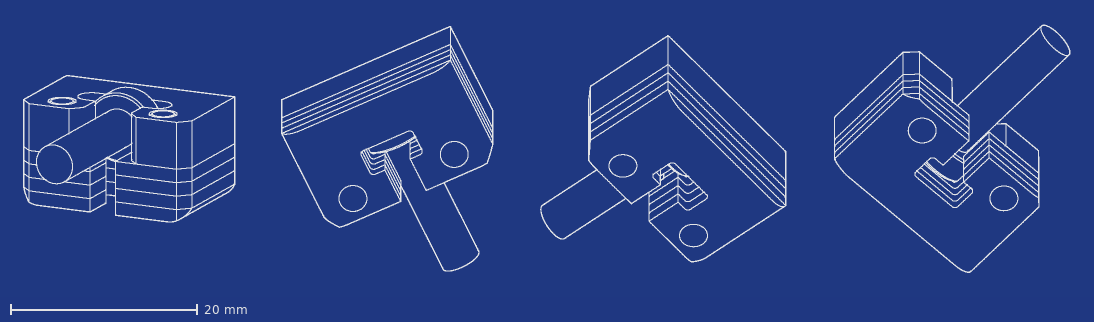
import cadquery as cq
import math


width = 20.0
depth = 12.0
corner_chamfer = 1.25

plate_count = 4
stack_height = 6.0
plate_thickness = stack_height / plate_count
slot_width = 3.0
base_edge_radius = 2.5

block_height = 5.2
top_z = stack_height + block_height
channel_width = 5.6
mouth_chamfer = 1.18
mouth_blend_radius = 0.8

pocket_length = 10.85
pocket_width = 3.0
pocket_center_y = 5.52
plate_pocket_length = 6.15
plate_pocket_radius = 0.43

bolt_z = 8.5
head_radius = 3.86
head_length = pocket_width
head_chamfer = 0.25
shank_diameter = 4.3
shank_overhang = 12.0
head_front_y = pocket_center_y - head_length / 2

pin_diameter = 3.0
pin_chamfer = 0.3
pin_spacing = 12.0
pin_y = 2.5
pin_positions = [(-pin_spacing / 2, pin_y), (pin_spacing / 2, pin_y)]


def clamp_slab(bottom_z, height):
    """Rectangular slab with chamfered front corners and holes for the pins."""
    slab = (
        cq.Workplane("XY")
        .box(width, depth, height, centered=(True, False, False))
        .edges("|Z and <Y")
        .chamfer(corner_chamfer)
        .translate((0, 0, bottom_z))
    )
    pin_holes = (
        cq.Workplane("XY", origin=(0, 0, bottom_z))
        .pushPoints(pin_positions)
        .circle(pin_diameter / 2)
        .extrude(height)
    )
    return slab.cut(pin_holes)


def plate_opening(bottom_z):
    """Cutter through a plate: front slot leading into a rounded rectangular head pocket."""
    slot = (
        cq.Workplane("XY", origin=(0, 0, bottom_z))
        .box(slot_width, pocket_center_y, plate_thickness, centered=(True, False, False))
    )
    pocket = (
        cq.Workplane("XY", origin=(0, pocket_center_y, bottom_z))
        .box(plate_pocket_length, pocket_width, plate_thickness, centered=(True, True, False))
        .edges("|Z")
        .fillet(plate_pocket_radius)
    )
    return slot.union(pocket)


def rounded_base_envelope():
    """Bottom plate profile: arcs tangent to the base that meet the sides at the plate's top."""
    arc_run = math.sqrt(base_edge_radius**2 - (base_edge_radius - plate_thickness) ** 2)
    half_width = width / 2
    half_base = half_width - arc_run
    return (
        cq.Workplane("XZ")
        .moveTo(-half_width, plate_thickness)
        .radiusArc((-half_base, 0), -base_edge_radius)
        .lineTo(half_base, 0)
        .radiusArc((half_width, plate_thickness), -base_edge_radius)
        .close()
        .extrude(-depth)
    )


def make_plate(index):
    """Plate at the given place in the stack; the lowest has rounded side edges."""
    bottom_z = index * plate_thickness
    plate = clamp_slab(bottom_z, plate_thickness).cut(plate_opening(bottom_z))
    if index == 0:
        plate = plate.intersect(rounded_base_envelope())
    return plate


def head_pocket():
    """Obround cutter that takes the bolt head down through the block."""
    return (
        cq.Workplane("XY", origin=(0, pocket_center_y, stack_height))
        .slot2D(pocket_length, pocket_width)
        .extrude(block_height)
    )


def shank_channel():
    """Cutter for the shank channel with its flared and blended mouth."""
    half_channel = channel_width / 2
    half_mouth = half_channel + mouth_chamfer
    flared = (
        cq.Workplane("XY", origin=(0, 0, stack_height))
        .moveTo(-half_mouth, 0)
        .lineTo(-half_channel, mouth_chamfer)
        .lineTo(-half_channel, pocket_center_y)
        .lineTo(half_channel, pocket_center_y)
        .lineTo(half_channel, mouth_chamfer)
        .lineTo(half_mouth, 0)
        .close()
        .extrude(block_height)
    )
    flare_corners = cq.selectors.BoxSelector(
        (-half_mouth, mouth_chamfer / 2, stack_height),
        (half_mouth, pocket_center_y / 2, top_z),
    )
    return flared.edges("|Z").edges(flare_corners).fillet(mouth_blend_radius)


def make_block():
    """Upper block with the head pocket and the channel for the shank."""
    block = clamp_slab(stack_height, block_height)
    return block.cut(head_pocket()).cut(shank_channel())


def make_bolt():
    """Bolt lying along Y: chamfered disc head and plain shank out through the channel."""
    head = (
        cq.Workplane("XZ", origin=(0, head_front_y, bolt_z))
        .circle(head_radius)
        .extrude(-head_length)
        .edges()
        .chamfer(head_chamfer)
    )
    shank = (
        cq.Workplane("XZ", origin=(0, head_front_y, bolt_z))
        .circle(shank_diameter / 2)
        .extrude(head_front_y + shank_overhang)
    )
    return head.union(shank)


def make_pin(position):
    """Pin through the whole clamp, flush with the top, with a chamfered upper rim."""
    return (
        cq.Workplane("XY")
        .center(*position)
        .circle(pin_diameter / 2)
        .extrude(top_z)
        .faces(">Z")
        .chamfer(pin_chamfer)
    )


plates = [make_plate(index) for index in range(plate_count)]
block = make_block()
bolt = make_bolt()
pins = [make_pin(position) for position in pin_positions]

bodies = [*plates, block, bolt, *pins]
result = cq.Compound.makeCompound([body.val() for body in bodies])